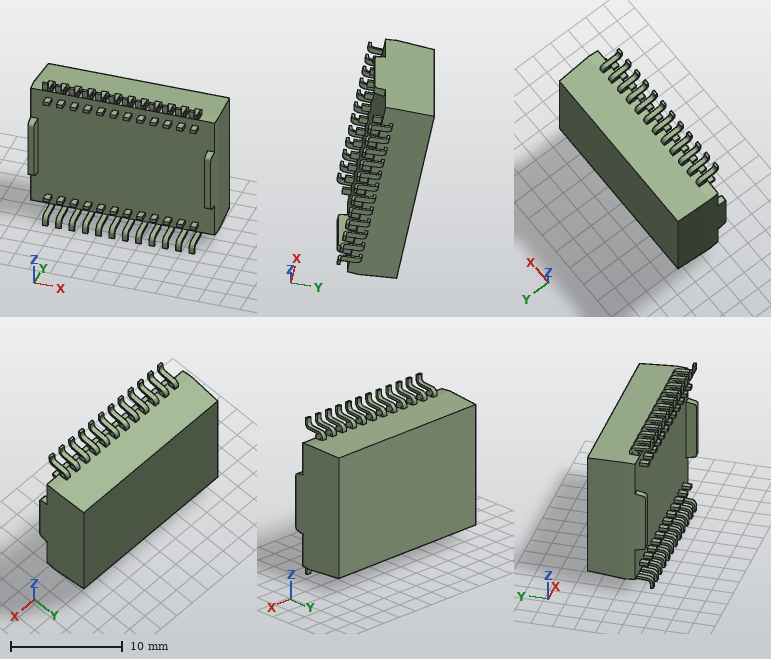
import cadquery as cq
import math

body_width = 17.53
body_height = 12.13
cover_depth = 3.47
base_depth = 1.02
draft = 3.0

pad_root_width = 0.68
pad_root_height = 5.82
pad_tip_height = 5.47
pad_length = 0.95
pad_round = 0.3

lead_count = 12
lead_pitch = 1.26
lead_width = 0.49
lead_thickness = 0.25
lead_span = 15.23
lead_back_y = -0.05
lead_tip_y = -2.25
lead_slope = 4.0
lead_embed = 0.53
bend_radius = 0.32
shoulder_z = 6.22

peg_width = 0.56
peg_height = 0.32
peg_row_z = 5.19
peg_end_y = -1.8
peg_offset = (peg_width - lead_width) / 2

front_width = body_width - 2 * base_depth * math.tan(math.radians(draft))
pad_tip_width = pad_root_width - 2 * pad_length * math.tan(math.radians(draft))
pad_x = (front_width - pad_root_width) / 2
outer_bend_radius = bend_radius + lead_thickness
lead_xs = [(i - (lead_count - 1) / 2) * lead_pitch for i in range(lead_count)]


def polar(center, radius, angle):
    """Point in the YZ plane at an angle, in degrees, around a center."""
    turn = math.radians(angle)
    return (center[0] + radius * math.cos(turn), center[1] + radius * math.sin(turn))


bend_angle = 90 - lead_slope
shoulder = (lead_back_y - outer_bend_radius, shoulder_z)
foot_y = lead_tip_y + outer_bend_radius
facing_centers = polar(shoulder, outer_bend_radius + bend_radius, bend_angle)
slope_length = (facing_centers[0] - foot_y) / math.sin(math.radians(bend_angle))
foot = polar(facing_centers, slope_length, bend_angle + 90)


def make_block(depth):
    """Drafted block grown from the parting plane, toward the front if depth is positive."""
    return cq.Workplane("XZ").rect(body_width, body_height).extrude(depth, taper=draft)


def make_body():
    """Two drafted blocks that share the parting plane."""
    base = make_block(base_depth)
    cover = make_block(-cover_depth)
    return base.union(cover)


def make_pad(x):
    """Tapered pad on the front face, with its two end edges rounded."""
    return (
        cq.Workplane("XZ", origin=(x, -base_depth, 0))
        .rect(pad_root_width, pad_root_height)
        .workplane(offset=pad_length)
        .rect(pad_tip_width, pad_tip_height)
        .loft()
        .faces("<Y")
        .edges("|X")
        .fillet(pad_round)
    )


def make_lead(x):
    """Gull-wing lead of the upper row, rooted inside the body."""
    root_z = body_height / 2 - lead_embed
    tip_z = lead_span / 2
    shoulder_middle = bend_angle / 2
    foot_middle = 180 + bend_angle / 2
    foot_start = 180 + bend_angle
    return (
        cq.Workplane("YZ", origin=(x - lead_width / 2, 0, 0))
        .moveTo(lead_back_y, root_z)
        .lineTo(lead_back_y, shoulder_z)
        .threePointArc(
            polar(shoulder, outer_bend_radius, shoulder_middle),
            polar(shoulder, outer_bend_radius, bend_angle),
        )
        .lineTo(*polar(foot, bend_radius, foot_start))
        .threePointArc(polar(foot, bend_radius, foot_middle), polar(foot, bend_radius, 180))
        .lineTo(lead_tip_y + lead_thickness, tip_z)
        .lineTo(lead_tip_y, tip_z)
        .lineTo(*polar(foot, outer_bend_radius, 180))
        .threePointArc(
            polar(foot, outer_bend_radius, foot_middle),
            polar(foot, outer_bend_radius, foot_start),
        )
        .lineTo(*polar(shoulder, bend_radius, bend_angle))
        .threePointArc(polar(shoulder, bend_radius, shoulder_middle), polar(shoulder, bend_radius, 0))
        .lineTo(lead_back_y - lead_thickness, root_z)
        .close()
        .extrude(lead_width)
    )


def make_shoulder_fill(x):
    """Round filling inside the shoulder bend of an upper lead."""
    return (
        cq.Workplane("YZ", origin=(x - lead_width / 2, 0, 0))
        .center(*shoulder)
        .circle(bend_radius)
        .extrude(lead_width)
    )


def make_peg(x, z):
    """Rectangular winding peg standing on the front face."""
    return (
        cq.Workplane("XZ", origin=(x - peg_offset, -base_depth, z))
        .rect(peg_width, peg_height)
        .extrude(-peg_end_y - base_depth)
    )


result = make_body()
for side in (-1, 1):
    result = result.union(make_pad(side * pad_x))
for lead_x in lead_xs:
    upper_lead = make_lead(lead_x)
    lower_lead = upper_lead.mirror("XY")
    result = result.union(upper_lead).union(make_shoulder_fill(lead_x)).union(lower_lead)
    for side in (-1, 1):
        result = result.union(make_peg(lead_x, side * peg_row_z))